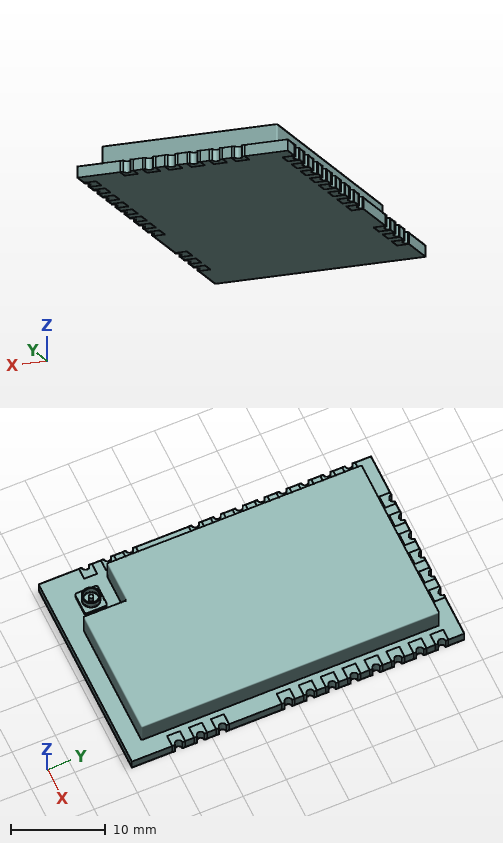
import cadquery as cq

BOARD_X = 24.0
BOARD_Y = 38.5
BOARD_Z = 1.25

PAD_PITCH = 2.54
PAD_WIDTH = 1.5
SIDE_PAD_REACH = 1.35
END_PAD_REACH = 1.25
PLATING = 0.01
NOTCH_RADIUS = 0.42
SIDE_PAD_SLOTS = (0, 1, 2, 3, 4, 5, 6, 7, 10, 11, 12)
FIRST_SIDE_PAD_INSET = 2.6
END_PAD_COUNT = 6

CAN_MARGIN = 2.0
CAN_TOP = 3.87
CAN_CUT_SIDE = 5.0
CAN_FILLET = 0.14

CONNECTOR_INSET_X = 4.18
CONNECTOR_INSET_Y = 4.2
BASE_X = 2.7
BASE_Y = 2.6
BASE_HEIGHT = 0.35
BASE_CORNER = 0.25
RING_DIAMETER = 2.0
RING_BORE = 1.75
RING_TOP = 1.2
PIN_DIAMETER = 0.5
PIN_TOP = 1.0

LEFT, RIGHT = -BOARD_X / 2, BOARD_X / 2
FRONT, BACK = -BOARD_Y / 2, BOARD_Y / 2


def box_between(x0, x1, y0, y1, z0, z1):
    """Axis-aligned box given by its limits."""
    return cq.Workplane("XY").box(x1 - x0, y1 - y0, z1 - z0, centered=False).translate((x0, y0, z0))


def side_pad_positions():
    """Y of each pad along the two long edges."""
    return [BACK - FIRST_SIDE_PAD_INSET - slot * PAD_PITCH for slot in SIDE_PAD_SLOTS]


def end_pad_positions():
    """X of each pad along the back edge, centred on the board."""
    first = -(END_PAD_COUNT - 1) * PAD_PITCH / 2
    return [first + index * PAD_PITCH for index in range(END_PAD_COUNT)]


def make_board():
    """Board with plated pads and a half-round notch through each pad."""
    board = box_between(LEFT, RIGHT, FRONT, BACK, 0, BOARD_Z)
    low, high = -PLATING, BOARD_Z + PLATING
    half = PAD_WIDTH / 2
    notch_centres = []
    for y in side_pad_positions():
        y0, y1 = y - half, y + half
        board = board.union(box_between(LEFT - PLATING, LEFT + SIDE_PAD_REACH, y0, y1, low, high))
        board = board.union(box_between(RIGHT - SIDE_PAD_REACH, RIGHT + PLATING, y0, y1, low, high))
        notch_centres += [(LEFT, y), (RIGHT, y)]
    for x in end_pad_positions():
        x0, x1 = x - half, x + half
        board = board.union(box_between(x0, x1, BACK - END_PAD_REACH, BACK + PLATING, low, high))
        notch_centres.append((x, BACK))
    notches = (
        cq.Workplane("XY", origin=(0, 0, low))
        .pushPoints(notch_centres)
        .circle(NOTCH_RADIUS)
        .extrude(high - low)
    )
    return board.cut(notches)


def make_can():
    """Shielding can with rounded upright and top edges."""
    left, right = LEFT + CAN_MARGIN, RIGHT - CAN_MARGIN
    front, back = FRONT + CAN_MARGIN, BACK - CAN_MARGIN
    can = box_between(left, right, front, back, BOARD_Z, CAN_TOP)
    can = can.cut(box_between(left, left + CAN_CUT_SIDE, front, front + CAN_CUT_SIDE, BOARD_Z, CAN_TOP))
    return can.edges("|Z").fillet(CAN_FILLET).faces(">Z").edges().fillet(CAN_FILLET)


def make_connector():
    """Rounded base carrying a thin contact ring around a centre pin."""
    centre = cq.Workplane("XY", origin=(LEFT + CONNECTOR_INSET_X, FRONT + CONNECTOR_INSET_Y, BOARD_Z))
    base = centre.rect(BASE_X, BASE_Y).extrude(BASE_HEIGHT).edges("|Z").fillet(BASE_CORNER)
    on_base = centre.workplane(offset=BASE_HEIGHT)
    ring = on_base.circle(RING_DIAMETER / 2).circle(RING_BORE / 2).extrude(RING_TOP - BASE_HEIGHT)
    pin = on_base.circle(PIN_DIAMETER / 2).extrude(PIN_TOP - BASE_HEIGHT)
    return base.union(ring).union(pin)


result = make_board().union(make_can()).union(make_connector())